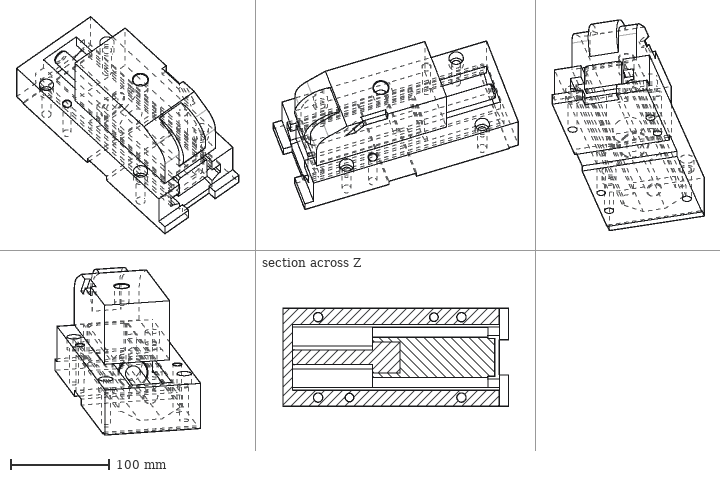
import cadquery as cq
import math

TOTAL_LENGTH = 230.0
TOTAL_HEIGHT = 117.0
SLOPE_ANGLE = math.radians(30)

base_width = 100.0
base_height = 50.0
foot_length = 9.5
foot_height = 12.0
foot_notch_width = 35.6
block_length = TOTAL_LENGTH - foot_length
heel_relief_height = 1.5
key_groove_start = 109.7
key_groove_width = 29.7
key_groove_depth = 6.5

slideway_start = 10.0
slot_half_width = 22.0
slot_depth = 14.0
undercut_half_width = 33.4
undercut_depth = 27.1
trough_top_half_width = 30.8
trough_bottom_half_width = 11.7
trough_depth = undercut_depth + (trough_top_half_width - trough_bottom_half_width) * math.tan(SLOPE_ANGLE)
ramp_length = 20.7
ramp_angle = math.radians(8.8)

hole_offset_y = 41.0
bolt_positions_x = (35.9, 182.0)
bolt_hole_diameter = 9.2
counterbore_diameter = 14.5
counterbore_depth = 12.9
tapped_positions = ((67.8, -hole_offset_y), (153.9, hole_offset_y))
tapped_hole_diameter = 8.5
tapped_hole_chamfer = 0.5

head_start = 72.0
head_end = 211.8
head_width = 68.0
head_clearance = 3.5
underside_relief_end = 110.5
underside_relief = 0.58
bevel_start = 179.2
bevel_fall = 0.5
bevel_round = 23.0
nose_radius = 31.3
nose_width = 30.0
nose_end = 218.7
lift_hole_x = 131.8
lift_hole_y = 2.5
lift_hole_diameter = 15.0
lift_hole_depth = 18.5
lift_hole_chamfer = 0.7
back_slot_start = 135.7
back_slot_depth = 5.5
back_slot_width = 26.2
back_slot_floor_width = 25.0
back_slot_floor_depth = 9.2
back_chute_depth = 18.5

tongue_start = 91.3
tongue_end = 208.8
neck_half_width = 20.7
flange_half_width = 30.5
flange_top_depth = 14.7
flange_bottom_depth = 35.6
boss_end = 216.0
boss_rise = 1.8
boss_flat_half_width = 16.5
boss_half_width = 19.3
boss_bottom_depth = undercut_depth

spindle_axis_depth = 13.8
rod_radius = 7.8
rod_end_chamfer_length = 1.5
rod_end_chamfer = 0.7
collar_radius = 15.6
collar_length = 27.5
collar_chamfer = 1.0


def box(x_start, x_end, y_start, y_end, z_start, z_end):
    """Box given by its limits along each axis."""
    size = (x_end - x_start, y_end - y_start, z_end - z_start)
    return cq.Workplane("XY").box(*size, centered=False).translate((x_start, y_start, z_start))


def symmetric_prism(half_outline, x_start, x_end):
    """Extrude along X a section mirrored about Y = 0; each point is (y, depth below the base top)."""
    right = [(y, base_height - depth) for y, depth in half_outline]
    left = [(-y, z) for y, z in reversed(right)]
    section = cq.Workplane("YZ", origin=(x_start, 0, 0)).polyline(right + left).close()
    return section.extrude(x_end - x_start)


def x_cylinder(radius, x_start, x_end):
    """Cylinder on the spindle axis."""
    plane = cq.Workplane("YZ", origin=(x_start, 0, base_height - spindle_axis_depth))
    return plane.circle(radius).extrude(x_end - x_start)


def trough_depth_at(y):
    """Depth below the base top of the sloping trough side at distance y from the centre."""
    return undercut_depth + (trough_top_half_width - y) * math.tan(SLOPE_ANGLE)


def make_slideway():
    """Space cut out of the base for the slider and the spindle, open at the +X end."""
    outline = [
        (slot_half_width, 0),
        (slot_half_width, slot_depth),
        (undercut_half_width, slot_depth),
        (undercut_half_width, undercut_depth),
        (trough_top_half_width, undercut_depth),
        (trough_bottom_half_width, trough_depth),
    ]
    return symmetric_prism(outline, slideway_start, block_length)


def make_end_ramp():
    """Wedge that lowers the slideway floor towards the +X end."""
    ramp_start = block_length - ramp_length
    floor = base_height - trough_depth
    outline = [
        (ramp_start, base_height),
        (ramp_start, floor),
        (block_length, floor - ramp_length * math.tan(ramp_angle)),
        (block_length, base_height),
    ]
    return cq.Workplane("XZ").polyline(outline).close().extrude(slot_half_width, both=True)


def make_base():
    half_width = base_width / 2
    base = box(0, block_length, -half_width, half_width, 0, base_height)
    base = base.union(box(block_length, TOTAL_LENGTH, -half_width, half_width, 0, foot_height))

    notch_half = foot_notch_width / 2
    base = base.cut(box(block_length, TOTAL_LENGTH, -notch_half, notch_half, 0, foot_height))
    base = base.cut(box(0, slideway_start, -half_width, half_width, 0, heel_relief_height))
    key_groove_end = key_groove_start + key_groove_width
    base = base.cut(box(key_groove_start, key_groove_end, -half_width, half_width, 0, key_groove_depth))

    base = base.cut(make_slideway()).cut(make_end_ramp())

    top = cq.Workplane("XY", origin=(0, 0, base_height))
    bolt_positions = [(x, side * hole_offset_y) for x in bolt_positions_x for side in (-1, 1)]
    base = base.cut(top.pushPoints(bolt_positions).circle(bolt_hole_diameter / 2).extrude(-base_height))
    base = base.cut(top.pushPoints(bolt_positions).circle(counterbore_diameter / 2).extrude(-counterbore_depth))
    for x, y in tapped_positions:
        base = base.cut(make_chamfered_hole(x, y, base_height, tapped_hole_diameter,
                                            base_height, tapped_hole_chamfer))
    return base


def make_chamfered_hole(x, y, top_z, diameter, depth, chamfer):
    """Vertical hole with a 45 degree chamfer at its mouth."""
    radius = diameter / 2
    mouth = cq.Solid.makeCone(radius + chamfer, radius, chamfer, cq.Vector(x, y, top_z), cq.Vector(0, 0, -1))
    hole = cq.Workplane("XY", origin=(x, y, top_z)).circle(radius).extrude(-depth)
    return hole.union(cq.Workplane(mouth))


def make_back_slot():
    """Pocket in the back face of the head whose +X end turns into a chute falling at 45 degrees."""
    mouth_end = back_slot_start + back_slot_width
    floor_end = back_slot_start + back_slot_floor_width
    floor_z = TOTAL_HEIGHT - back_slot_floor_depth
    chute_z = TOTAL_HEIGHT - back_chute_depth
    outline = [
        (back_slot_start, TOTAL_HEIGHT),
        (mouth_end, TOTAL_HEIGHT),
        (mouth_end + back_chute_depth, chute_z),
        (floor_end + back_chute_depth - back_slot_floor_depth, chute_z),
        (floor_end, floor_z),
        (back_slot_start, floor_z),
    ]
    back_face = cq.Workplane("XZ", origin=(0, head_width / 2, 0))
    return back_face.polyline(outline).close().extrude(back_slot_depth)


def make_head():
    """Bevelled and rounded block with the round nose at its +X end."""
    bottom = base_height + head_clearance
    bevel_end_z = TOTAL_HEIGHT - (head_end - bevel_start) * bevel_fall
    half_width = head_width / 2
    outline = [
        (head_start, bottom + underside_relief),
        (underside_relief_end, bottom + underside_relief),
        (underside_relief_end, bottom),
        (head_end, bottom),
        (head_end, bevel_end_z),
        (bevel_start, TOTAL_HEIGHT),
        (head_start, TOTAL_HEIGHT),
    ]
    head = cq.Workplane("XZ").polyline(outline).close().extrude(half_width, both=True)
    round_edge = cq.selectors.NearestToPointSelector((head_end, 0, bevel_end_z))
    head = head.edges(round_edge).fillet(bevel_round)

    nose_plane = cq.Workplane("XZ", origin=(nose_end - nose_radius, 0, TOTAL_HEIGHT - nose_radius))
    head = head.union(nose_plane.circle(nose_radius).extrude(nose_width / 2, both=True))

    head = head.cut(make_chamfered_hole(lift_hole_x, lift_hole_y, TOTAL_HEIGHT, lift_hole_diameter,
                                        lift_hole_depth, lift_hole_chamfer))
    return head.cut(make_back_slot())


def make_tongue():
    """Neck and flange that run in the slideway, with a shouldered boss on the +X end."""
    slope_run = (flange_bottom_depth - trough_depth_at(flange_half_width)) / math.tan(SLOPE_ANGLE)
    outline = [
        (neck_half_width, -head_clearance - underside_relief),
        (neck_half_width, flange_top_depth),
        (flange_half_width, flange_top_depth),
        (flange_half_width, trough_depth_at(flange_half_width)),
        (flange_half_width - slope_run, flange_bottom_depth),
    ]
    tongue = symmetric_prism(outline, tongue_start, tongue_end)
    shoulder_drop = (boss_half_width - boss_flat_half_width) * math.tan(SLOPE_ANGLE)
    boss_outline = [
        (boss_flat_half_width, -boss_rise),
        (boss_half_width, shoulder_drop - boss_rise),
        (boss_half_width, boss_bottom_depth),
    ]
    return tongue.union(symmetric_prism(boss_outline, tongue_end, boss_end))


def make_slider():
    """Head and tongue in one piece, bored for the spindle collar."""
    bore = x_cylinder(collar_radius, tongue_start, tongue_start + collar_length)
    return make_head().union(make_tongue()).cut(bore)


def make_spindle():
    """Rod from the closed end of the slideway to a collar set flush in the slider."""
    rod = x_cylinder(rod_radius, slideway_start, tongue_start)
    rod = rod.faces("<X").chamfer(rod_end_chamfer_length, rod_end_chamfer)
    collar = x_cylinder(collar_radius, tongue_start, tongue_start + collar_length)
    collar = collar.edges("<X").chamfer(collar_chamfer)
    return rod.union(collar)


base = make_base()
slider = make_slider()
spindle = make_spindle()

bodies = [base, slider, spindle]
result = cq.Compound.makeCompound([body.solids().val() for body in bodies])